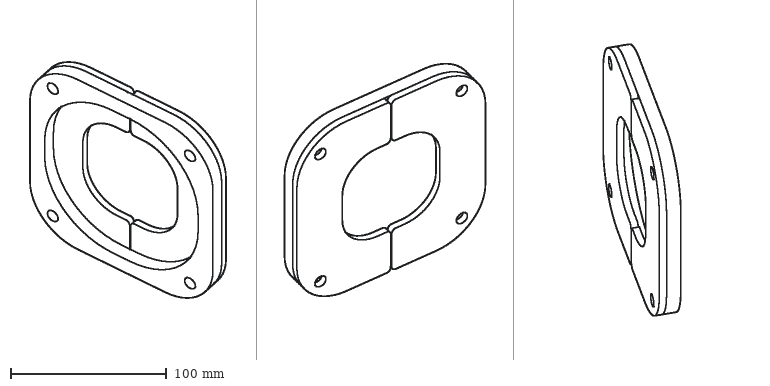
import cadquery as cq

SIDE = 146.0
CORNER_RADIUS = 38.1

FRAME_THICKNESS = 9.5
WINDOW_SIDE = 122.4
WINDOW_RADIUS = 54.0

TOTAL_THICKNESS = 14.3
PLATE_THICKNESS = TOTAL_THICKNESS - FRAME_THICKNESS
OPENING_SIDE = 75.5
OPENING_RADIUS = 27.0
SPLIT_GAP = 0.9
SPLIT_CORNER_RADIUS = 3.2

HOLE_DIAMETER = 8.5
HOLE_SPACING = 109.5

FRONT_Y = -TOTAL_THICKNESS / 2
JOINT_Y = FRONT_Y + FRAME_THICKNESS


def rounded_square(side, radius, front_y, thickness):
    """Square block with rounded corners, running from front_y towards +Y."""
    return (
        cq.Workplane("XZ", origin=(0, front_y, 0))
        .rect(side, side)
        .extrude(-thickness)
        .edges("|Y")
        .fillet(radius)
    )


def bolt_holes(front_y, thickness):
    """Cutters for the four bolt holes, on a square pattern."""
    return (
        cq.Workplane("XZ", origin=(0, front_y, 0))
        .rect(HOLE_SPACING, HOLE_SPACING, forConstruction=True)
        .vertices()
        .circle(HOLE_DIAMETER / 2)
        .extrude(-thickness)
    )


def make_ring(inner_side, inner_radius, front_y, thickness):
    """Rounded square plate with a rounded square opening and the bolt holes."""
    outer = rounded_square(SIDE, CORNER_RADIUS, front_y, thickness)
    inner = rounded_square(inner_side, inner_radius, front_y, thickness)
    return outer.cut(inner).cut(bolt_holes(front_y, thickness))


def make_frame():
    """Front frame with the large window."""
    return make_ring(WINDOW_SIDE, WINDOW_RADIUS, FRONT_Y, FRAME_THICKNESS)


def make_half_plate(direction):
    """Half of the rear plate on the -X (direction -1) or +X (direction 1) side of the gap."""
    ring = make_ring(OPENING_SIDE, OPENING_RADIUS, JOINT_Y, PLATE_THICKNESS)
    half_width = (SIDE - SPLIT_GAP) / 2
    half_center_x = direction * (SPLIT_GAP + half_width) / 2
    kept_side = (
        cq.Workplane("XZ", origin=(half_center_x, JOINT_Y, 0))
        .rect(half_width, SIDE)
        .extrude(-PLATE_THICKNESS)
    )
    half = ring.intersect(kept_side)
    split_face = "<X" if direction > 0 else ">X"
    return half.faces(split_face).edges("|Y").fillet(SPLIT_CORNER_RADIUS)


frame = make_frame()
half_plates = [make_half_plate(direction) for direction in (-1, 1)]

result = cq.Compound.makeCompound([frame.val(), *[plate.val() for plate in half_plates]])